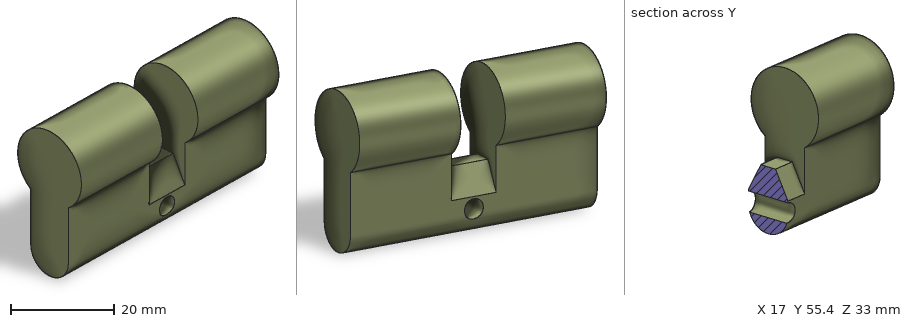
import cadquery as cq

length = 55.4
height = 33.0
barrel_diameter = 17.0
blade_width = 10.0

gap_length = 9.95
gap_floor_height = 13.95
slope_foot_height = 8.1
bridge_top_width = 3.75

screw_hole_diameter = 4.2
screw_hole_height = 5.55

barrel_radius = barrel_diameter / 2
blade_radius = blade_width / 2
barrel_height = height - barrel_radius


def profile_body():
    """Keyhole profile: a round barrel on a blade with a rounded lower edge."""
    barrel = cq.Workplane("XZ").center(0, barrel_height).circle(barrel_radius).extrude(length / 2, both=True)
    blade = (
        cq.Workplane("XZ")
        .moveTo(-blade_radius, barrel_height)
        .lineTo(-blade_radius, blade_radius)
        .threePointArc((0, 0), (blade_radius, blade_radius))
        .lineTo(blade_radius, barrel_height)
        .close()
        .extrude(length / 2, both=True)
    )
    return barrel.union(blade)


def cam_gap():
    """Cutter that leaves a bridge with a flat top and two sloped flanks."""
    return (
        cq.Workplane("XZ")
        .moveTo(-barrel_radius, height)
        .lineTo(-barrel_radius, slope_foot_height)
        .lineTo(-blade_radius, slope_foot_height)
        .lineTo(-bridge_top_width / 2, gap_floor_height)
        .lineTo(bridge_top_width / 2, gap_floor_height)
        .lineTo(blade_radius, slope_foot_height)
        .lineTo(barrel_radius, slope_foot_height)
        .lineTo(barrel_radius, height)
        .close()
        .extrude(gap_length / 2, both=True)
    )


def screw_hole():
    """Cutter for the cross hole through the blade at mid-length."""
    return (
        cq.Workplane("YZ")
        .center(0, screw_hole_height)
        .circle(screw_hole_diameter / 2)
        .extrude(blade_width, both=True)
    )


result = profile_body().cut(cam_gap()).cut(screw_hole())